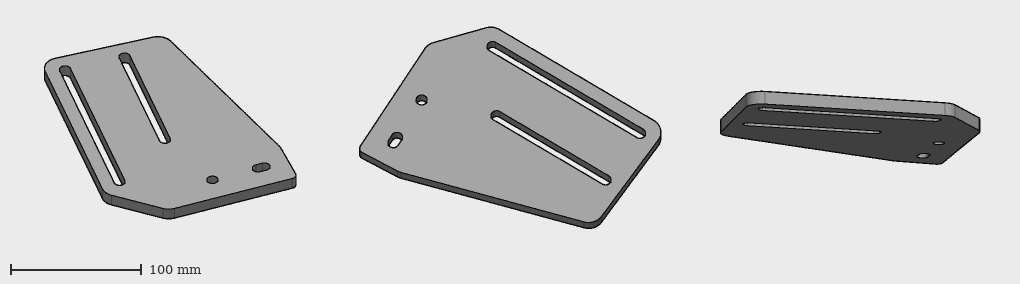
import cadquery as cq
import math

length = 193.5
width = 144.2
thickness = 10.0

tilt = 2.9
along = cq.Vector(math.cos(math.radians(tilt)), -math.sin(math.radians(tilt)))
across = cq.Vector(-along.y, along.x)

bottom_edge_length = 159.3
left_edge_length = 99.5
top_edge_length = 36.8
right_edge_bottom = 38.7
bottom_left = cq.Vector(-0.5, 7.7)
bottom_right = bottom_left + along * bottom_edge_length
top_left = bottom_left + across * left_edge_length
right_low = cq.Vector(length, right_edge_bottom)
top_right = cq.Vector(length, width)
top_bend = cq.Vector(length - top_edge_length, width)

main_radius = 12.0
top_right_radius = 4.0

opening_width = 8.5
long_slot_start = cq.Vector(15.0, 22.0)
long_slot_travel = 135.1
short_slot_travel = 99.9
slot_spacing = 47.8
mount_x = length - 20.3
mount_hole_y = 82.3
mount_slot_y = 122.2
mount_slot_length = 14.0


def slot_cutter(center, overall_length, angle):
    """Through-cutter for a round-ended slot at the given angle to X."""
    return (
        cq.Workplane("XY")
        .center(center.x, center.y)
        .slot2D(overall_length, opening_width, angle)
        .extrude(thickness)
    )


def tilted_slot_cutter(start, travel):
    """Slot following the tilt, from the center of its left end."""
    return slot_cutter(start + along * (travel / 2), travel + opening_width, -tilt)


def round_corner(body, corner, radius):
    """Round the vertical edge standing at an outline corner."""
    point = (corner.x, corner.y, thickness / 2)
    edge = cq.selectors.NearestToPointSelector(point)
    return body.edges("|Z").edges(edge).fillet(radius)


corners = [bottom_left, bottom_right, right_low, top_right, top_bend, top_left]
plate = cq.Workplane("XY").polyline([(p.x, p.y) for p in corners]).close().extrude(thickness)
for corner in (bottom_left, bottom_right, right_low, top_bend, top_left):
    plate = round_corner(plate, corner, main_radius)
plate = round_corner(plate, top_right, top_right_radius)

plate = plate.cut(tilted_slot_cutter(long_slot_start, long_slot_travel))
plate = plate.cut(tilted_slot_cutter(long_slot_start + across * slot_spacing, short_slot_travel))

plate = plate.cut(slot_cutter(cq.Vector(mount_x, mount_slot_y), mount_slot_length, 90))
mount_hole = cq.Workplane("XY").center(mount_x, mount_hole_y).circle(opening_width / 2).extrude(thickness)
result = plate.cut(mount_hole)